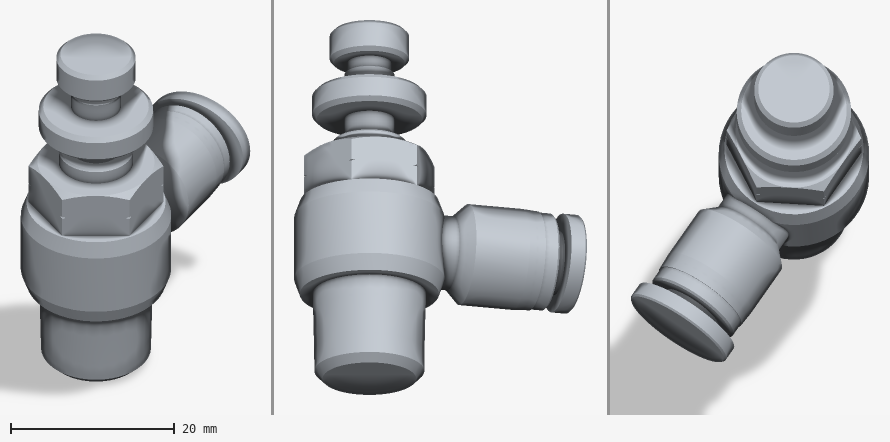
import cadquery as cq
import math

thread_length = 11.03
housing_height = 11.9
hex_height = 6.0
collar_height = 1.95
lock_disc_gap = 2.9
lock_disc_height = 3.5
knob_height = 4.0
overall_height = 45.1

housing_bottom = thread_length
housing_top = housing_bottom + housing_height
hex_top = housing_top + hex_height
collar_top = hex_top + collar_height
lock_disc_bottom = collar_top + lock_disc_gap
lock_disc_top = lock_disc_bottom + lock_disc_height
knob_bottom = overall_height - knob_height

housing_radius = 9.2
housing_end_radius = 8.5
housing_taper_height = 1.95
bore_radius = 6.0

port_axis_z = 17.28
port_radius = 6.2
port_neck_radius = 4.55
port_mouth_radius = 6.07
port_neck_end = 10.2
port_cone_end = 11.9
port_taper_start = 18.65
port_mouth = 20.7
socket_depth = 4.0
socket_floor = port_mouth - socket_depth

ring_radius = 5.95
ring_end = 22.55
ring_chamfer = 0.25
collet_radius = 4.0
collet_tip_radius = 3.9
collet_shoulder = 23.4
flange_start = 23.7
flange_thickness = 2.0
flange_half_width = 7.0
flange_half_height = 5.93
flange_chamfer = 0.22

thread_top_radius = 6.95
thread_end_radius = 6.72
thread_end_chamfer = 1.0
hex_across_flats = 14.29
hex_flat_radius = hex_across_flats / 2
hex_corner_radius = hex_across_flats / math.sqrt(3)
hex_bevel_angle = math.radians(30)
notch_z = 25.6
notch_depth = 0.25
notch_height = 0.2
collar_radius = 4.55
collar_chamfer = 0.25

stem_radius = 3.05
stem_depth = 6.0
stem_bottom = collar_top - stem_depth
stem_shoulder = 39.6
stem_chamfer_height = 0.28
lock_disc_radius = 7.0
lock_disc_chamfer = 0.55
knob_neck_radius = 2.68
knob_radius = 4.85
knob_chamfer = 0.5


def turned(profile):
    """Revolve a (radius, height) profile, closed on the axis, about Z."""
    points = [(0, profile[0][1])] + profile + [(0, profile[-1][1])]
    return cq.Workplane("XZ").polyline(points).close().revolve(360, (0, 0, 0), (0, 1, 0))


def rod(radius, bottom, top):
    """A plain cylinder on the Z axis."""
    return turned([(radius, bottom), (radius, top)])


def chamfered_disc(radius, bottom, top, chamfer):
    """A disc on the Z axis with both rims chamfered."""
    return turned([
        (radius - chamfer, bottom),
        (radius, bottom + chamfer),
        (radius, top - chamfer),
        (radius - chamfer, top),
    ])


def along_port(shape):
    """Turn a shape built up along Z so that it lies along +Y on the port axis."""
    return shape.rotate((0, 0, 0), (1, 0, 0), -90).translate((0, 0, port_axis_z))


def make_housing():
    barrel = turned([
        (housing_end_radius, housing_bottom),
        (housing_radius, housing_bottom + housing_taper_height),
        (housing_radius, housing_top - housing_taper_height),
        (housing_end_radius, housing_top),
    ])
    port = along_port(turned([
        (port_neck_radius, 0),
        (port_neck_radius, port_neck_end),
        (port_radius, port_cone_end),
        (port_radius, port_taper_start),
        (port_mouth_radius, port_mouth),
    ]))
    bore = rod(bore_radius, housing_bottom, housing_top)
    socket = along_port(rod(collet_radius, socket_floor, port_mouth))
    return barrel.union(port).cut(bore).cut(socket)


def make_cartridge():
    ring_and_collet = turned([
        (collet_radius, socket_floor),
        (collet_radius, port_mouth),
        (ring_radius, port_mouth),
        (ring_radius, ring_end - ring_chamfer),
        (ring_radius - ring_chamfer, ring_end),
        (collet_radius, ring_end),
        (collet_radius, collet_shoulder),
        (collet_tip_radius, flange_start),
    ])
    flange = (
        cq.Workplane("XY", origin=(0, 0, flange_start))
        .ellipse(flange_half_width, flange_half_height)
        .extrude(flange_thickness)
        .faces(">Z")
        .chamfer(flange_chamfer)
    )
    return along_port(ring_and_collet.union(flange))


def make_hexagon():
    """Hexagon with corners on +Y and -Y, bevelled on top and nicked at its corners."""
    prism = (
        cq.Workplane("XY", origin=(0, 0, housing_top))
        .polygon(6, 2 * hex_corner_radius)
        .extrude(hex_height)
        .rotate((0, 0, 0), (0, 0, 1), 90)
    )
    bevel_drop = (hex_corner_radius - hex_flat_radius) * math.tan(hex_bevel_angle)
    bevel_envelope = turned([
        (hex_corner_radius, housing_top),
        (hex_corner_radius, hex_top - bevel_drop),
        (hex_flat_radius, hex_top),
    ])
    corner_notch = (
        cq.Workplane("XZ")
        .polyline([
            (hex_corner_radius - notch_depth, notch_z),
            (hex_corner_radius, notch_z + notch_height / 2),
            (hex_corner_radius, notch_z - notch_height / 2),
        ])
        .close()
        .revolve(360, (0, 0, 0), (0, 1, 0))
    )
    return prism.intersect(bevel_envelope).cut(corner_notch)


def make_stud():
    thread_and_shank = turned([
        (thread_end_radius - thread_end_chamfer, 0),
        (thread_end_radius, thread_end_chamfer),
        (thread_top_radius, housing_bottom),
        (bore_radius, housing_bottom),
        (bore_radius, housing_top),
    ])
    collar = turned([
        (collar_radius, hex_top),
        (collar_radius, collar_top - collar_chamfer),
        (collar_radius - collar_chamfer, collar_top),
    ])
    stem_hole = rod(stem_radius, stem_bottom, collar_top)
    return thread_and_shank.union(make_hexagon()).union(collar).cut(stem_hole)


def make_needle():
    stem = turned([
        (stem_radius, stem_bottom),
        (stem_radius, stem_shoulder),
        (knob_neck_radius, stem_shoulder + stem_chamfer_height),
        (knob_neck_radius, knob_bottom),
    ])
    lock_disc = chamfered_disc(lock_disc_radius, lock_disc_bottom, lock_disc_top, lock_disc_chamfer)
    knob = chamfered_disc(knob_radius, knob_bottom, overall_height, knob_chamfer)
    return stem.union(lock_disc).union(knob)


housing = make_housing()
cartridge = make_cartridge()
stud = make_stud()
needle = make_needle()

result = cq.Compound.makeCompound([housing.val(), cartridge.val(), stud.val(), needle.val()])